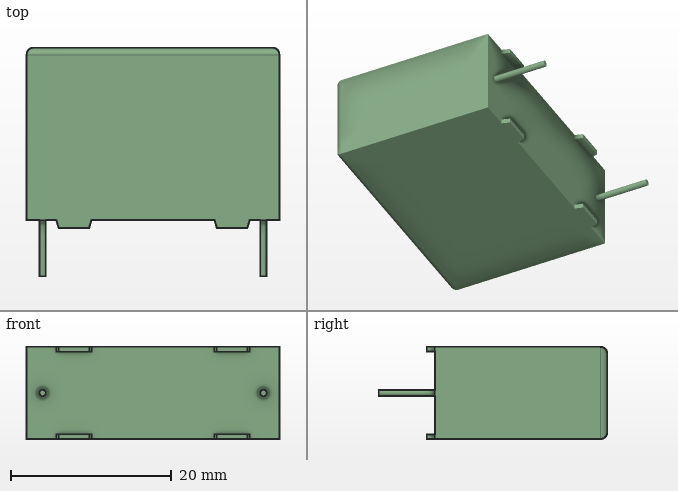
import cadquery as cq

case_width = 31.5
case_length = 21.5
case_height = 11.51
far_edge_radius = 0.9

foot_root_width = 4.4
foot_tip_width = 3.8
foot_length = 1.0
foot_thickness = 0.6
foot_spacing = 19.7

pin_diameter = 0.8
pin_length = 7.0
pin_spacing = 27.5



def make_foot(x_center, z_bottom):
    """One trapezoidal standoff foot on the lead face."""
    half_root = foot_root_width / 2
    half_tip = foot_tip_width / 2
    return (
        cq.Workplane("XY", origin=(x_center, 0, z_bottom))
        .moveTo(-half_root, 0)
        .lineTo(-half_tip, -foot_length)
        .lineTo(half_tip, -foot_length)
        .lineTo(half_root, 0)
        .close()
        .extrude(foot_thickness)
    )


def make_case():
    """Rectangular case, rounded around its far face, with four feet flush with its large faces."""
    case = (
        cq.Workplane("XY")
        .box(case_width, case_length, case_height, centered=(True, False, True))
        .faces(">Y")
        .edges()
        .fillet(far_edge_radius)
    )
    lower_foot_z = -case_height / 2
    upper_foot_z = case_height / 2 - foot_thickness
    for x_center in (-foot_spacing / 2, foot_spacing / 2):
        for z_bottom in (lower_foot_z, upper_foot_z):
            case = case.union(make_foot(x_center, z_bottom))
    return case


def make_pin(x_center):
    """One round lead pin standing on the lead face."""
    return (
        cq.Workplane("XZ", origin=(x_center, 0, 0))
        .circle(pin_diameter / 2)
        .extrude(pin_length)
    )


case = make_case()
pins = [make_pin(x_center) for x_center in (-pin_spacing / 2, pin_spacing / 2)]

result = cq.Compound.makeCompound([case.val(), *[pin.val() for pin in pins]])